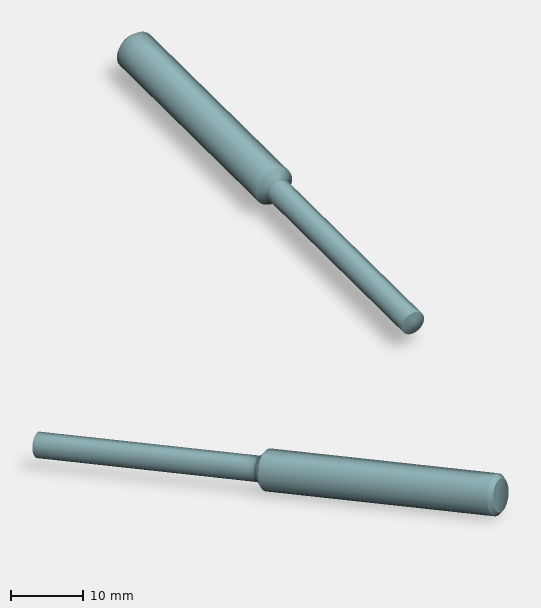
import cadquery as cq

total_length = 72.0

shank_radius = 6.0 / 2
shank_chamfer = 0.6
shoulder_start = 36.0
neck_end = 43.0

rod_radius = 3.7 / 2
point_length = 0.5

shoulder_end = shoulder_start + shank_radius - rod_radius
point_start = total_length - point_length


def turned_body(profile):
    """Revolve a closed (x, radius) half profile about the X axis."""
    return cq.Workplane("XY").polyline(profile).close().revolve(360, (0, 0, 0), (1, 0, 0))


def make_shank():
    return turned_body([
        (0, 0),
        (0, shank_radius - shank_chamfer),
        (shank_chamfer, shank_radius),
        (shoulder_start, shank_radius),
        (shoulder_end, rod_radius),
        (neck_end, rod_radius),
        (neck_end, 0),
    ])


def make_cutting_rod():
    return turned_body([
        (neck_end, 0),
        (neck_end, rod_radius),
        (point_start, rod_radius),
        (total_length, 0),
    ])


shank = make_shank()
cutting_rod = make_cutting_rod()

result = cq.Compound.makeCompound([shank.val(), cutting_rod.val()])